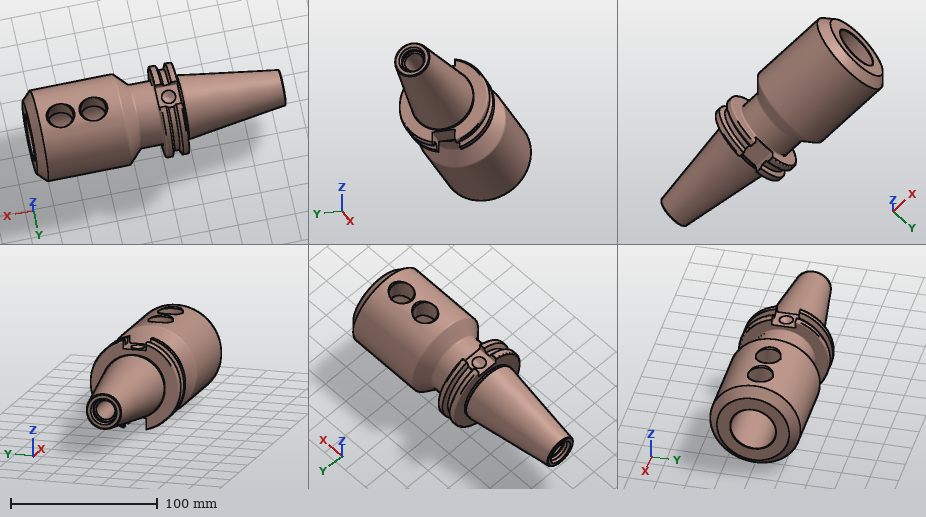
import cadquery as cq
import math

length = 176.2
taper_small_radius = 12.3
taper_large_radius = 44.4 / 2
taper_end = 68.0
taper_edge_chamfer = 0.5

relief_start = 69.6
relief_radius = 43.5 / 2

flange_start = 71.4
flange_width = 15.9
flange_radius = 31.7
flange_end = flange_start + flange_width
flange_middle = flange_start + flange_width / 2
flange_edge_fillet = 1.0
groove_radius = 28.2
groove_floor_width = 3.7
groove_mouth_width = 7.0

neck_radius = taper_large_radius
neck_end = 103.0
neck_fillet = 1.0
body_start = 112.5
body_radius = 31.7
shoulder_fillet = 1.5
nose_chamfer = 6.3

slot_width = 16.4
slot_corner_fillet = 0.7
top_slot_floor = 25.4
bottom_slot_floor = 22.4

dimple_diameter = 9.5
dimple_half_angle = 60
dimple_depth = dimple_diameter / 2 / math.tan(math.radians(dimple_half_angle))

through_diameter = 13.4
pilot_diameter = 16.4
pilot_depth = 4.5
pilot_mouth_diameter = 18.5
pilot_mouth_depth = 2.1
tool_bore_diameter = 31.7
tool_bore_mouth_diameter = 32.5
tool_bore_depth = 79.3

screw_positions = (131.8, 154.7)
screw_diameter = 17.3
screw_mouth_diameter = 19.4


def axial_cone(start, depth, start_diameter, end_diameter):
    """Cone along X from one diameter to the other."""
    profile = [
        (start, 0),
        (start, start_diameter / 2),
        (start + depth, end_diameter / 2),
        (start + depth, 0),
    ]
    return cq.Workplane("XY").polyline(profile).close().revolve(360, (0, 0, 0), (1, 0, 0))


def axial_cylinder(start, depth, diameter):
    return axial_cone(start, depth, diameter, diameter)


def vertical_cone(x, bottom, height, bottom_diameter, top_diameter):
    """Cone along Z; a bottom diameter of zero gives a pointed tip."""
    profile = [(0, 0), (top_diameter / 2, height), (0, height)]
    if bottom_diameter > 0:
        profile.insert(1, (bottom_diameter / 2, 0))
    cone = cq.Workplane("XZ").polyline(profile).close().revolve(360, (0, 0, 0), (0, 1, 0))
    return cone.translate((x, 0, bottom))


def shank():
    """Taper, with a chamfered small end, running into the relief groove."""
    profile = [
        (0, 0),
        (0, taper_small_radius),
        (taper_end, taper_large_radius),
        (relief_start, taper_large_radius),
        (relief_start, relief_radius),
        (flange_start, relief_radius),
        (flange_start, 0),
    ]
    solid = cq.Workplane("XY").polyline(profile).close().revolve(360, (0, 0, 0), (1, 0, 0))
    return solid.faces("<X").edges().chamfer(taper_edge_chamfer)


def flange():
    """Rounded disc with a V-sided groove around its middle."""
    disc = axial_cylinder(flange_start, flange_width, 2 * flange_radius)
    disc = disc.faces("<X or >X").edges().fillet(flange_edge_fillet)
    groove = [
        (flange_middle - groove_mouth_width / 2, flange_radius),
        (flange_middle - groove_floor_width / 2, groove_radius),
        (flange_middle + groove_floor_width / 2, groove_radius),
        (flange_middle + groove_mouth_width / 2, flange_radius),
    ]
    ring = cq.Workplane("XY").polyline(groove).close().revolve(360, (0, 0, 0), (1, 0, 0))
    return disc.cut(ring)


def drive_slot(floor, side):
    """Slot cutter on the upper (side = 1) or lower (side = -1) edge of the flange."""
    height = 2 * (flange_radius - floor)
    block = cq.Workplane("XY").box(flange_width, slot_width, height)
    floor_edges = block.faces("<Z" if side > 0 else ">Z").edges("|X")
    rounded = floor_edges.fillet(slot_corner_fillet)
    return rounded.translate((flange_middle, 0, side * flange_radius))


def holder():
    """Neck, conical shoulder and body with a chamfered nose."""
    profile = [
        (flange_end, 0),
        (flange_end, neck_radius),
        (neck_end, neck_radius),
        (body_start, body_radius),
        (length - nose_chamfer, body_radius),
        (length, body_radius - nose_chamfer),
        (length, 0),
    ]
    solid = cq.Workplane("XY").polyline(profile).close().revolve(360, (0, 0, 0), (1, 0, 0))
    shoulder_face = solid.faces(cq.selectors.NearestToPointSelector(((neck_end + body_start) / 2, 0, 0)))
    return shoulder_face.edges("%CIRCLE").fillet(shoulder_fillet)


def neck_blend():
    """Concave ring that blends the neck into the flange face."""
    tip = neck_fillet * (1 - math.sqrt(0.5))
    profile = (
        cq.Workplane("XY")
        .moveTo(flange_end, neck_radius)
        .lineTo(flange_end, neck_radius + neck_fillet)
        .threePointArc((flange_end + tip, neck_radius + tip), (flange_end + neck_fillet, neck_radius))
        .close()
    )
    return profile.revolve(360, (0, 0, 0), (1, 0, 0))


def axial_bores():
    """Through hole, stepped pilot at the small end and tool bore at the nose."""
    mouth_depth = (tool_bore_mouth_diameter - tool_bore_diameter) / 2
    bores = axial_cylinder(0, length, through_diameter)
    bores = bores.union(axial_cylinder(0, pilot_depth, pilot_diameter))
    bores = bores.union(axial_cone(0, pilot_mouth_depth, pilot_mouth_diameter, pilot_diameter))
    bores = bores.union(axial_cylinder(length - tool_bore_depth, tool_bore_depth, tool_bore_diameter))
    mouth_start = length - mouth_depth
    return bores.union(axial_cone(mouth_start, mouth_depth, tool_bore_diameter, tool_bore_mouth_diameter))


def screw_hole(x):
    """Countersunk hole from the top of the body into the tool bore."""
    sink_depth = (screw_mouth_diameter - screw_diameter) / 2
    hole = vertical_cone(x, 0, body_radius, screw_diameter, screw_diameter)
    sink = vertical_cone(x, body_radius - sink_depth, sink_depth, screw_diameter, screw_mouth_diameter)
    return hole.union(sink)


flange_body = flange()
flange_body = flange_body.cut(drive_slot(top_slot_floor, 1))
flange_body = flange_body.cut(drive_slot(bottom_slot_floor, -1))

result = shank().union(flange_body).union(holder()).union(neck_blend())
dimple_tip = top_slot_floor - dimple_depth
result = result.cut(vertical_cone(flange_middle, dimple_tip, dimple_depth, 0, dimple_diameter))
result = result.cut(axial_bores())
for screw_x in screw_positions:
    result = result.cut(screw_hole(screw_x))